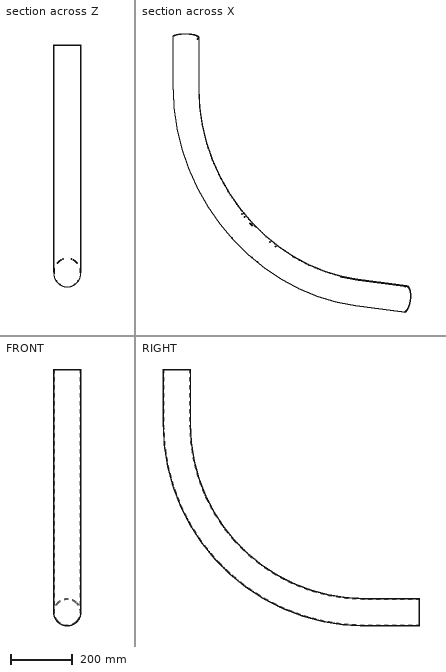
import cadquery as cq

overall_size = 832.0
outer_diameter = 89.0
inner_diameter = 83.0
bend_radius = 610.0

straight_length = overall_size - bend_radius - outer_diameter / 2

centreline = (
    cq.Workplane("YZ")
    .moveTo(-bend_radius, straight_length)
    .lineTo(-bend_radius, 0)
    .radiusArc((0, -bend_radius), -bend_radius)
    .lineTo(straight_length, -bend_radius)
)

pipe_section = (
    cq.Workplane("XY", origin=(0, -bend_radius, straight_length))
    .circle(outer_diameter / 2)
    .circle(inner_diameter / 2)
)

result = pipe_section.sweep(centreline)